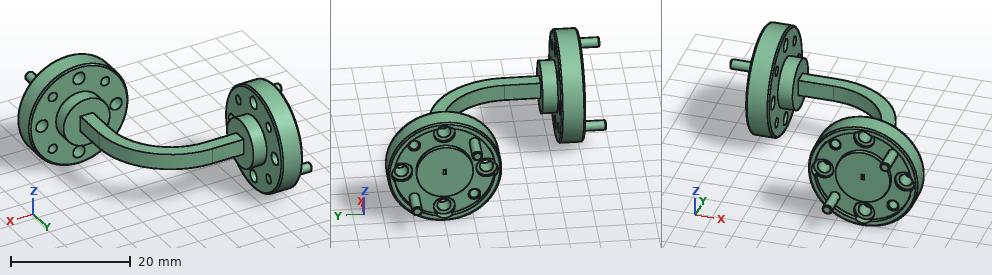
import cadquery as cq
import math

flange_dia = 19.05
overall_size = 38.8
pin_reach = overall_size - flange_dia / 2
pin_projection = 3.88
face_distance = pin_reach - pin_projection

flange_thick = 4.07
flange_chamfer = 0.27
hub_dia = 8.9
hub_length = 2.55

recess_dia = 17.0
boss_dia = 9.5
recess_depth = 0.78

hole_circle_dia = 14.28
screw_hole_dia = 2.25
counterbore_dia = 3.57
counterbore_depth = 1.28
dowel_hole_dia = 1.63
dowel_hole_chamfer = 0.2
screw_angles = (0, 90, 180, 270)
pin_angles = (45, 225)
dowel_hole_angles = (135, 315)

opening_width = 0.45
opening_height = 0.85
opening_depth = flange_thick

pin_dia = 1.65
pin_tip_chamfer = 0.2

tube_width = 2.4
tube_height = 2.9
bend_radius = 12.65

flange_planes = [
    cq.Plane(origin=(0, -face_distance, 0), xDir=(1, 0, 0), normal=(0, -1, 0)),
    cq.Plane(origin=(-face_distance, 0, 0), xDir=(0, -1, 0), normal=(-1, 0, 0)),
]


def on_hole_circle(angles):
    """Local points on the hole circle at the given angles in degrees."""
    radius = hole_circle_dia / 2
    return [
        (radius * math.cos(math.radians(a)), radius * math.sin(math.radians(a)))
        for a in angles
    ]


def drill(plane, angles, dia, depth):
    """Cylinders that start at the mating face and run into the flange."""
    return cq.Workplane(plane).pushPoints(on_hole_circle(angles)).circle(dia / 2).extrude(-depth)


def make_dowel_hole_cutter(plane):
    """Through holes with a chamfered mouth at the recess floor."""
    mouth_radius = dowel_hole_dia / 2 + dowel_hole_chamfer
    floor_plane = cq.Workplane(plane).workplane(offset=-recess_depth)
    mouths = (
        floor_plane.pushPoints(on_hole_circle(dowel_hole_angles))
        .circle(mouth_radius)
        .extrude(-dowel_hole_chamfer, taper=45)
    )
    return drill(plane, dowel_hole_angles, dowel_hole_dia, flange_thick).union(mouths)


def make_flange(plane):
    disc = cq.Workplane(plane).circle(flange_dia / 2).extrude(-flange_thick)
    disc = disc.edges().chamfer(flange_chamfer)
    hub = cq.Workplane(plane).circle(hub_dia / 2).extrude(-flange_thick - hub_length)
    recess = cq.Workplane(plane).circle(recess_dia / 2).circle(boss_dia / 2).extrude(-recess_depth)
    opening = cq.Workplane(plane).rect(opening_width, opening_height).extrude(-opening_depth)
    return (
        disc.union(hub)
        .cut(recess)
        .cut(opening)
        .cut(drill(plane, screw_angles, counterbore_dia, counterbore_depth))
        .cut(drill(plane, screw_angles, screw_hole_dia, flange_thick))
        .cut(make_dowel_hole_cutter(plane))
        .cut(drill(plane, pin_angles, pin_dia, flange_thick))
    )


def make_tube():
    """Rectangular tube between the hub ends, along the bent centreline."""
    tube_end = face_distance - flange_thick - hub_length
    bend_middle = bend_radius * (1 - math.sqrt(0.5))
    path = (
        cq.Workplane("XY")
        .moveTo(-tube_end, 0)
        .lineTo(-bend_radius, 0)
        .threePointArc((-bend_middle, -bend_middle), (0, -bend_radius))
        .lineTo(0, -tube_end)
    )
    return cq.Workplane("YZ", origin=(-tube_end, 0, 0)).rect(tube_width, tube_height).sweep(path)


def make_waveguide():
    body = make_tube()
    for plane in flange_planes:
        body = body.union(make_flange(plane))
    return body


def make_pin(plane, angle):
    """Dowel pin filling its hole through the flange, with a chamfered tip."""
    return (
        cq.Workplane(plane)
        .workplane(offset=-flange_thick)
        .pushPoints(on_hole_circle([angle]))
        .circle(pin_dia / 2)
        .extrude(flange_thick + pin_projection)
        .faces(cq.selectors.DirectionMinMaxSelector(plane.zDir))
        .chamfer(pin_tip_chamfer)
    )


waveguide = make_waveguide()
pins = [make_pin(plane, angle) for plane in flange_planes for angle in pin_angles]

result = cq.Compound.makeCompound([waveguide.val(), *[pin.val() for pin in pins]])